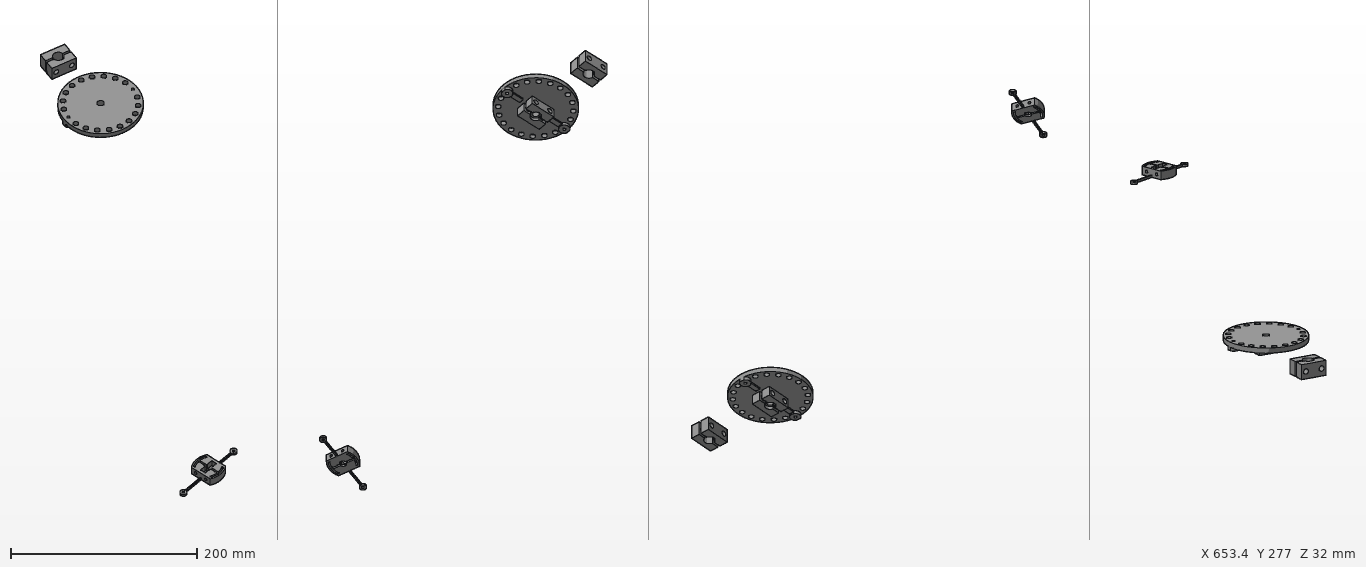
import cadquery as cq
import math


WHEEL_DIAMETER = 92.0
WHEEL_THICKNESS = 6.0
WHEEL_BORE = 8.0
RIM_HOLE_COUNT = 20
RIM_HOLE_DIAMETER = 6.0
RIM_HOLE_RADIUS = 40.5
FOOT_DIAMETER = 12.5
FOOT_HEIGHT = 4.0
FOOT_HOLE_DIAMETER = 3.2
FOOT_ANGLES = (90, 270)
RIB_WIDTH = 6.0
RIB_HEIGHT = 2.0
RIB_INNER_RADIUS = 20.0
BOSS_DIAMETER = 12.5
BOSS_LENGTH = 8.0

CLAMP_WIDTH = 24.0
CLAMP_LENGTH = 31.0
CLAMP_BORE = BOSS_DIAMETER
CLAMP_SCREW_DIAMETER = 6.0
CLAMP_SCREW_SPACING = 19.5

WHEEL_CLAMP_GAP = 3.0
WHEEL_CLAMP_HEIGHT = 12.0

SHAFT_CLAMP_GAP = 2.5
SHAFT_CLAMP_HEIGHT = 17.0
SHAFT_CLAMP_X = -87.0
SHAFT_CLAMP_Y = -0.5
SHAFT_CLAMP_BOTTOM = -15.0

HUB_X = 537.0
HUB_Y = -188.0
HUB_BOTTOM = 7.0
HUB_TURN = 18
HUB_LENGTH = 34.0
HUB_FLAT_LENGTH = 27.0
HUB_WIDTH = 25.5
HUB_HEIGHT = 10.0
HUB_BORE = 8.0
HUB_SLIT_WIDTH = 2.0
HUB_SCREW_DIAMETER = 3.2
HUB_SCREW_SPACING = 14.5
RELIEF_WALL = 2.0
RELIEF_WIDTH = 2.0
RELIEF_LENGTH = 19.5
POCKET_WIDTH = 6.5
POCKET_REACH = 9.0
ARM_WIDTH = 1.65
ARM_HEIGHT = 2.5
EYE_RADIUS = 41.0
EYE_DIAMETER = 8.0
EYE_HOLE_DIAMETER = 2.7


def cylinder(diameter, bottom, height, x=0, y=0):
    return cq.Workplane("XY", origin=(x, y, bottom)).circle(diameter / 2).extrude(height)


def box(width, length, height, bottom, x=0, y=0):
    return cq.Workplane("XY", origin=(x, y, bottom)).rect(width, length).extrude(height)


def screw_holes(plane, origin, spacing, diameter, length):
    """A pair of parallel cylinders, spaced evenly about the origin of the given plane."""
    return (
        cq.Workplane(plane, origin=origin)
        .pushPoints([(-spacing / 2, 0), (spacing / 2, 0)])
        .circle(diameter / 2)
        .extrude(length)
    )


def make_foot():
    """Rim foot on the +X side, trimmed flush with the rim, with its rib running inward."""
    foot = cylinder(FOOT_DIAMETER, -FOOT_HEIGHT, FOOT_HEIGHT, x=RIM_HOLE_RADIUS)
    foot = foot.intersect(cylinder(WHEEL_DIAMETER, -FOOT_HEIGHT, FOOT_HEIGHT))
    rib_length = RIM_HOLE_RADIUS - RIB_INNER_RADIUS
    rib_x = RIB_INNER_RADIUS + rib_length / 2
    return foot.union(box(rib_length, RIB_WIDTH, RIB_HEIGHT, -RIB_HEIGHT, x=rib_x))


def make_wheel():
    wheel = cylinder(WHEEL_DIAMETER, 0, WHEEL_THICKNESS)
    for angle in FOOT_ANGLES:
        wheel = wheel.union(make_foot().rotate((0, 0, 0), (0, 0, 1), angle))

    wheel = wheel.union(cylinder(BOSS_DIAMETER, -BOSS_LENGTH, BOSS_LENGTH))
    wheel = wheel.cut(cylinder(WHEEL_BORE, -BOSS_LENGTH, BOSS_LENGTH + WHEEL_THICKNESS))

    for index in range(RIM_HOLE_COUNT):
        angle = 360 * index / RIM_HOLE_COUNT
        diameter = FOOT_HOLE_DIAMETER if angle in FOOT_ANGLES else RIM_HOLE_DIAMETER
        x = RIM_HOLE_RADIUS * math.cos(math.radians(angle))
        y = RIM_HOLE_RADIUS * math.sin(math.radians(angle))
        wheel = wheel.cut(cylinder(diameter, -FOOT_HEIGHT, FOOT_HEIGHT + WHEEL_THICKNESS, x, y))
    return wheel


def make_jaw(side, gap, height):
    """Jaw on the -X (side -1) or +X (side 1) half of a clamp centred on the origin, standing on z = 0."""
    jaw_width = (CLAMP_WIDTH - gap) / 2
    jaw = box(jaw_width, CLAMP_LENGTH, height, 0, x=side * (gap + jaw_width) / 2)
    jaw = jaw.cut(cylinder(CLAMP_BORE, 0, height))
    screw_start = (-CLAMP_WIDTH / 2, 0, height / 2)
    return jaw.cut(
        screw_holes("YZ", screw_start, CLAMP_SCREW_SPACING, CLAMP_SCREW_DIAMETER, CLAMP_WIDTH)
    )


def make_hub_body():
    corner_x = HUB_FLAT_LENGTH / 2
    flat_y = HUB_WIDTH / 2
    return (
        cq.Workplane("XY")
        .moveTo(-corner_x, -flat_y)
        .lineTo(corner_x, -flat_y)
        .threePointArc((HUB_LENGTH / 2, 0), (corner_x, flat_y))
        .lineTo(-corner_x, flat_y)
        .threePointArc((-HUB_LENGTH / 2, 0), (-corner_x, -flat_y))
        .close()
        .extrude(HUB_HEIGHT)
    )


def make_relief(side):
    """Curved slot that follows the rounded end of the hub at a constant wall thickness."""
    bulge = (HUB_LENGTH - HUB_FLAT_LENGTH) / 2
    end_radius = ((HUB_WIDTH / 2) ** 2 + bulge**2) / (2 * bulge)
    end_center = side * (HUB_LENGTH / 2 - end_radius)
    outer_radius = end_radius - RELIEF_WALL
    ring = (
        cq.Workplane("XY", origin=(end_center, 0, 0))
        .circle(outer_radius)
        .circle(outer_radius - RELIEF_WIDTH)
        .extrude(HUB_HEIGHT)
    )
    end_zone = box(HUB_LENGTH / 2, RELIEF_LENGTH, HUB_HEIGHT, 0, x=side * HUB_LENGTH / 2)
    return ring.intersect(end_zone)


def make_arm(side):
    """Thin arm from the flat of the hub to a pierced round eye."""
    arm_length = EYE_RADIUS - HUB_WIDTH / 2
    arm = box(ARM_WIDTH, arm_length, ARM_HEIGHT, 0, y=side * (EYE_RADIUS - arm_length / 2))
    arm = arm.union(cylinder(EYE_DIAMETER, 0, ARM_HEIGHT, y=side * EYE_RADIUS))
    return arm.cut(cylinder(EYE_HOLE_DIAMETER, 0, ARM_HEIGHT, y=side * EYE_RADIUS))


def make_hub():
    """Built along the axes around its own centre, then turned and moved into place."""
    hub = make_hub_body()
    for side in (-1, 1):
        hub = hub.cut(make_relief(side))
        hub = hub.union(make_arm(side))

    hub = hub.cut(cylinder(HUB_BORE, 0, HUB_HEIGHT))
    pocket_depth = HUB_HEIGHT - ARM_HEIGHT
    hub = hub.cut(box(POCKET_WIDTH, 2 * POCKET_REACH, pocket_depth, ARM_HEIGHT))

    slit_length = HUB_LENGTH - 2 * RELIEF_WALL - RELIEF_WIDTH
    hub = hub.cut(box(slit_length, HUB_SLIT_WIDTH, HUB_HEIGHT, 0))

    screw_start = (0, HUB_WIDTH / 2, HUB_HEIGHT / 2)
    hub = hub.cut(screw_holes("XZ", screw_start, HUB_SCREW_SPACING, HUB_SCREW_DIAMETER, HUB_WIDTH))

    return hub.rotate((0, 0, 0), (0, 0, 1), HUB_TURN).translate((HUB_X, HUB_Y, HUB_BOTTOM))


wheel = make_wheel()
hub = make_hub()

wheel_jaws = []
shaft_jaws = []
for side in (-1, 1):
    wheel_jaw = make_jaw(side, WHEEL_CLAMP_GAP, WHEEL_CLAMP_HEIGHT)
    wheel_jaws.append(wheel_jaw.translate((0, 0, -WHEEL_CLAMP_HEIGHT)))
    shaft_jaw = make_jaw(side, SHAFT_CLAMP_GAP, SHAFT_CLAMP_HEIGHT)
    shaft_jaws.append(shaft_jaw.translate((SHAFT_CLAMP_X, SHAFT_CLAMP_Y, SHAFT_CLAMP_BOTTOM)))

result = cq.Compound.makeCompound([
    wheel.solids().val(),
    *[jaw.solids().val() for jaw in wheel_jaws],
    *[jaw.solids().val() for jaw in shaft_jaws],
    hub.solids().val(),
])